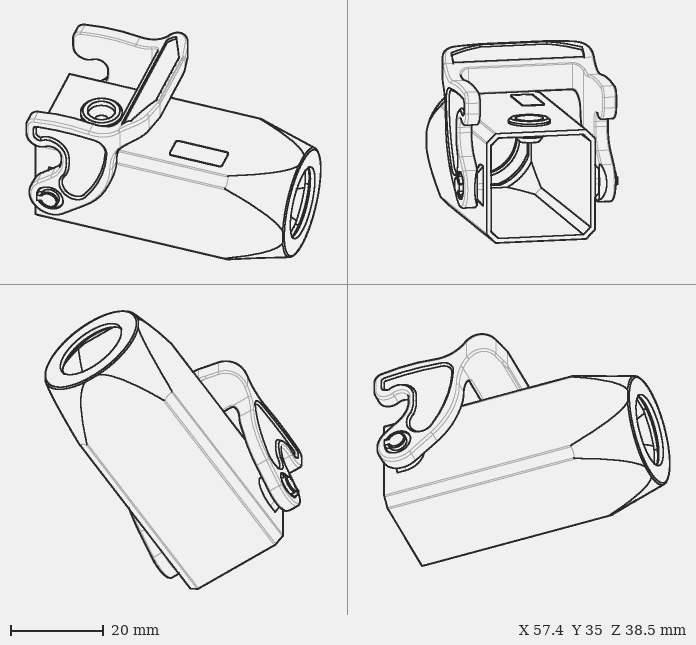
import cadquery as cq
import math

CLEARANCE = 1.0
HALF_SPACE = 100.0

BODY_LENGTH = 56.8
BODY_WIDTH = 24.0
BODY_HALF = BODY_WIDTH / 2
BODY_CHAMFER = 2.0
BODY_EDGE_RADIUS = 0.5
WALL = 1.0
MID_WALL = BODY_HALF - WALL / 2
CAVITY_CHAMFER = 1.6
CAVITY_DRAFT_DROP = 0.4
END_WALL = 1.5
COLLAR_DEPTH = 1.5
COLLAR_HALF = 10.05
COLLAR_RADIUS = 10.7
CONE_START = 43.2
CONE_END_RADIUS = 12.05
CONE_START_RADIUS = math.hypot(BODY_HALF, BODY_HALF - BODY_CHAMFER)
END_EDGE_CHAMFER = 0.3
BORE_RADIUS = 7.9
BORE_CHAMFER = 0.5

SEAT_X = 10.85
SEAT_RADIUS = 4.5
SEAT_HEIGHT = 0.95
SEAT_EDGE_CHAMFER = 0.5
SEAT_CUP_RADIUS = 3.0
SEAT_CUP_DEPTH = 1.2
SEAT_CONE_DEPTH = 1.6
SEAT_INNER_RADIUS = 3.1
SEAT_INNER_Z = 9.1
SEAT_TIP_RADIUS = 2.2
SEAT_TIP_Z = 7.9
SCREW_RADIUS = 1.6

PLATE_X = 35.0
PLATE_Y = -5.3
PLATE_LENGTH = 12.0
PLATE_WIDTH = 4.9
PLATE_CORNER = 0.6
PLATE_HEIGHT = 0.15

PIVOT_X = 5.0
HUB_BASE_RADIUS = 4.35
HUB_TIP_RADIUS = 2.7
HUB_FLAT_X = 3.1
PIN_RADIUS = 2.0
PIN_END_Y = 17.5
PIN_CHAMFER = 0.25
PIN_RECESS_RADIUS = 3.0
PIN_RECESS_DEPTH = 0.4
PIN_KEY_START_X = 2.25
PIN_KEY_HEIGHT = 1.5

ARM_OUTER_Y = 16.7
ARM_INNER_Y = 13.5
EYE_RADIUS = 4.9
LEVER_BACK_X = -0.56
LEVER_TIP_X = 27.0
LEVER_TOP_Z = 26.53
STEM_SLOPE = 38.5
STEM_X = 7.4
STEM_BEND_RADIUS = 6.1
THROAT_RADIUS = 2.2
THROAT_Z = 12.3
NOSE_RADIUS = 3.0
BACK_SLOPE = 37.5
BACK_STRAIGHT = 6.3
BAR_X = 19.5
BAR_INNER_RADIUS = 2.0
LEVER_EDGE_RADIUS = 0.5
WINDOW_EDGE_RADIUS = 0.35
TIP_EDGE_RADIUS = 0.3
EYE_RELIEF_DEPTH = 1.1
EYE_RELIEF_LENGTH = 2.2
EYE_RELIEF_TOP_Z = 4.5
SIDE_POCKET_DEPTH = 0.5
SIDE_POCKET_TAPER = 45.0
BAR_POCKET_DEPTH = 0.5


def octagon(half, chamfer):
    """Square section with cut corners in the plane of the open end."""
    plane = cq.Workplane("YZ")
    return plane.sketch().rect(2 * half, 2 * half).vertices().chamfer(chamfer).finalize()


def revolved_x(points):
    """Turn an (x, radius) outline about the X axis."""
    return cq.Workplane("XY").polyline(points).close().revolve(360, (0, 0, 0), (1, 0, 0))


def rear_cone(inset, length):
    """Cylinder that tapers from CONE_START to the rear end, shrunk by inset."""
    slope = (CONE_START_RADIUS - CONE_END_RADIUS) / (BODY_LENGTH - CONE_START)
    entry_radius = CONE_START_RADIUS + CLEARANCE - inset
    cone_entry = CONE_START - CLEARANCE / slope
    end_radius = CONE_END_RADIUS + slope * (BODY_LENGTH - length) - inset
    return revolved_x([
        (-CLEARANCE, 0),
        (-CLEARANCE, entry_radius),
        (cone_entry, entry_radius),
        (length, end_radius),
        (length, 0),
    ])


def end_collar(depth):
    """Ledge around the cavity floor, open inside a square with rounded corners."""
    plane = cq.Workplane("YZ", origin=(depth - COLLAR_DEPTH, 0, 0))
    block = plane.rect(BODY_WIDTH, BODY_WIDTH).extrude(COLLAR_DEPTH)
    opening = plane.rect(2 * COLLAR_HALF, 2 * COLLAR_HALF).extrude(COLLAR_DEPTH)
    opening = opening.intersect(plane.circle(COLLAR_RADIUS).extrude(COLLAR_DEPTH))
    return block.cut(opening)


def make_shell():
    outer = octagon(BODY_HALF, BODY_CHAMFER).extrude(BODY_LENGTH)
    outer = outer.edges("|X").fillet(BODY_EDGE_RADIUS)
    outer = outer.intersect(rear_cone(0, BODY_LENGTH))
    outer = outer.faces(">X").edges().chamfer(END_EDGE_CHAMFER)

    depth = BODY_LENGTH - END_WALL
    mouth_half = BODY_HALF - WALL
    draft = math.degrees(math.atan(CAVITY_DRAFT_DROP / depth))
    cavity = octagon(mouth_half, CAVITY_CHAMFER).extrude(depth, taper=draft)
    cavity = cavity.intersect(rear_cone(WALL, depth))
    cavity = cavity.cut(end_collar(depth))
    wide = BORE_RADIUS + BORE_CHAMFER
    bore = revolved_x([
        (depth - CLEARANCE, 0),
        (depth - CLEARANCE, wide),
        (depth, wide),
        (depth + BORE_CHAMFER, BORE_RADIUS),
        (BODY_LENGTH + CLEARANCE, BORE_RADIUS),
        (BODY_LENGTH + CLEARANCE, 0),
    ])
    return outer.cut(cavity).cut(bore)


def turned_seat(outline):
    """Turn a (radius, z) outline about the vertical screw axis."""
    plane = cq.Workplane("XZ", origin=(SEAT_X, 0, 0))
    return plane.polyline(outline).close().revolve(360, (0, 0, 0), (0, 1, 0))


def add_screw_seat(body):
    top = BODY_HALF + SEAT_HEIGHT
    cone_top = top - SEAT_CUP_DEPTH
    cone_bottom = cone_top - SEAT_CONE_DEPTH
    seat = turned_seat([
        (0, SEAT_TIP_Z),
        (SEAT_TIP_RADIUS, SEAT_TIP_Z),
        (SEAT_INNER_RADIUS, SEAT_INNER_Z),
        (SEAT_INNER_RADIUS, MID_WALL),
        (SEAT_RADIUS, MID_WALL),
        (SEAT_RADIUS, top - SEAT_EDGE_CHAMFER),
        (SEAT_RADIUS - SEAT_EDGE_CHAMFER, top),
        (0, top),
    ])
    hole = turned_seat([
        (0, SEAT_TIP_Z - CLEARANCE),
        (SCREW_RADIUS, SEAT_TIP_Z - CLEARANCE),
        (SCREW_RADIUS, cone_bottom),
        (SEAT_CUP_RADIUS, cone_top),
        (SEAT_CUP_RADIUS, top),
        (0, top),
    ])
    return body.union(seat).cut(hole)


def add_name_plate(body):
    plate = (
        cq.Workplane("XY", origin=(PLATE_X, PLATE_Y, BODY_HALF))
        .rect(PLATE_LENGTH, PLATE_WIDTH)
        .extrude(PLATE_HEIGHT)
        .edges("|Z")
        .fillet(PLATE_CORNER)
    )
    return body.union(plate)


def lever_outline(plane):
    """Side profile of the lever, starting at the stem and running around the eye."""
    stem_angle = math.radians(STEM_SLOPE + 90)
    back_angle = math.radians(BACK_SLOPE - 90)

    def on_eye(angle):
        return (PIVOT_X + EYE_RADIUS * math.cos(angle), EYE_RADIUS * math.sin(angle))

    stem_foot = on_eye(stem_angle)
    back_foot = on_eye(back_angle)
    back_start = (
        back_foot[0] + BACK_STRAIGHT * math.cos(math.radians(BACK_SLOPE)),
        back_foot[1] + BACK_STRAIGHT * math.sin(math.radians(BACK_SLOPE)),
    )

    throat_x = STEM_X - THROAT_RADIUS
    nose_x = LEVER_BACK_X + NOSE_RADIUS
    centre_gap = THROAT_RADIUS + NOSE_RADIUS
    nose_z = THROAT_Z + math.sqrt(centre_gap**2 - (throat_x - nose_x) ** 2)
    share = THROAT_RADIUS / centre_gap
    touch = (throat_x + share * (nose_x - throat_x), THROAT_Z + share * (nose_z - THROAT_Z))

    bend = math.radians(STEM_SLOPE)
    bend_start_x = STEM_X - STEM_BEND_RADIUS * (1 - math.sin(bend))
    bend_start_z = stem_foot[1] + (bend_start_x - stem_foot[0]) * math.tan(bend)
    bend_end_z = bend_start_z + STEM_BEND_RADIUS * math.cos(bend)

    return (
        plane.moveTo(*stem_foot)
        .threePointArc(on_eye((stem_angle + back_angle) / 2 + math.pi), back_foot)
        .lineTo(*back_start)
        .tangentArcPoint((19.1, 12.3), relative=False)
        .tangentArcPoint((20.0, 16.8), relative=False)
        .tangentArcPoint((26.3, 21.85), relative=False)
        .lineTo(LEVER_TIP_X, 22.0)
        .lineTo(LEVER_TIP_X, LEVER_TOP_Z)
        .lineTo(26.5, LEVER_TOP_Z)
        .tangentArcPoint((20.5, 23.82), relative=False)
        .tangentArcPoint((13.8, 21.35), relative=False)
        .tangentArcPoint((1.2, 21.2), relative=False)
        .tangentArcPoint((LEVER_BACK_X, 19.05), relative=False)
        .lineTo(LEVER_BACK_X, nose_z)
        .tangentArcPoint(touch, relative=False)
        .tangentArcPoint((STEM_X, THROAT_Z), relative=False)
        .lineTo(STEM_X, bend_end_z)
        .tangentArcPoint((bend_start_x, bend_start_z), relative=False)
        .close()
    )


def lever_plan():
    """Plan of the lever seen along Z: a bowed cross bar with two arms."""
    bow_half = 8.0
    corner_x = 21.0
    shoulder_x = 26.1
    shoulder_y = 12.5
    plan = (
        cq.Workplane("XY")
        .moveTo(LEVER_BACK_X - CLEARANCE, ARM_OUTER_Y)
        .lineTo(corner_x, ARM_OUTER_Y)
        .tangentArcPoint((shoulder_x, shoulder_y), relative=False)
        .lineTo(LEVER_TIP_X, bow_half)
        .lineTo(LEVER_TIP_X, -bow_half)
        .lineTo(shoulder_x, -shoulder_y)
        .tangentArcPoint((corner_x, -ARM_OUTER_Y), relative=False)
        .lineTo(LEVER_BACK_X - CLEARANCE, -ARM_OUTER_Y)
        .close()
        .extrude(HALF_SPACE / 2, both=True)
    )
    inside = (
        cq.Workplane("XY")
        .box(HALF_SPACE, 2 * ARM_INNER_Y, HALF_SPACE)
        .edges("|Z and >X")
        .fillet(BAR_INNER_RADIUS)
        .translate((BAR_X - HALF_SPACE / 2, 0, 0))
    )
    return plan.cut(inside)


def side_pocket():
    """Shallow recess with sloping walls in the outer face of the arm at -Y."""
    outline = (
        cq.Workplane("XZ", origin=(0, -ARM_OUTER_Y, 0))
        .moveTo(1.2, 17.3)
        .lineTo(1.2, 18.6)
        .tangentArcPoint((2.1, 19.55), relative=False)
        .threePointArc((8.8, 19.85), (14.9, 19.5))
        .threePointArc((17.2, 18.4), (17.95, 16.0))
        .threePointArc((16.7, 9.5), (13.1, 2.6))
        .threePointArc((10.5, 1.25), (8.0, 2.5))
        .threePointArc((7.1, 4.9), (8.1, 7.5))
        .threePointArc((8.6, 9.2), (8.7, 10.9))
        .lineTo(8.7, 12.3)
        .threePointArc((7.5, 15.2), (4.9, 16.45))
        .threePointArc((3.9, 16.3), (2.9, 15.8))
        .threePointArc((1.7, 16.15), (1.2, 17.3))
        .close()
    )
    return outline.extrude(-SIDE_POCKET_DEPTH, taper=SIDE_POCKET_TAPER)


def bar_pocket(side):
    """Recess that follows the curved top of the cross bar at a constant depth."""
    plan = [
        (20.6, -14.5),
        (22.8, -14.5),
        (25.95, -7.4),
        (25.95, 7.4),
        (22.8, 14.5),
        (20.6, 14.5),
    ]
    top_skin = side.cut(side.translate((BAR_POCKET_DEPTH / 2, 0, -BAR_POCKET_DEPTH)))
    return cq.Workplane("XY").polyline(plan).close().extrude(2 * LEVER_TOP_Z).intersect(top_skin)


def eye_relief():
    """Wedge that bevels the inner edge of the eye at -Y, on its open side."""
    edge_x = PIVOT_X - EYE_RADIUS
    return (
        cq.Workplane("XY", origin=(0, 0, -EYE_RELIEF_TOP_Z))
        .polyline([
            (edge_x, -ARM_INNER_Y),
            (edge_x, -ARM_INNER_Y - EYE_RELIEF_DEPTH),
            (edge_x + EYE_RELIEF_LENGTH, -ARM_INNER_Y),
        ])
        .close()
        .extrude(2 * EYE_RELIEF_TOP_Z)
    )


def both_sides(solid):
    return solid.union(solid.mirror("XZ"))


def make_lever():
    """Lever body with rounded edges, recesses and bevelled eyes."""
    side = lever_outline(cq.Workplane("XZ", origin=(0, ARM_OUTER_Y, 0))).extrude(2 * ARM_OUTER_Y)
    lever = side.intersect(lever_plan())
    lever = lever.faces(">Y or <Y").edges().fillet(LEVER_EDGE_RADIUS)
    lever = lever.edges("|Y").edges(">X").fillet(TIP_EDGE_RADIUS)
    margin = 0.1
    around_window = cq.selectors.BoxSelector(
        (LEVER_BACK_X - CLEARANCE, -ARM_INNER_Y - margin, -EYE_RADIUS - CLEARANCE),
        (BAR_X + margin, ARM_INNER_Y + margin, LEVER_TOP_Z),
    )
    lever = lever.edges("not |Z").edges(around_window).fillet(WINDOW_EDGE_RADIUS)
    lever = lever.cut(bar_pocket(side))
    lever = lever.cut(both_sides(side_pocket()))
    return lever.cut(both_sides(eye_relief()))


def turned_pivot(outline):
    """Turn a (radius, distance from the centre plane) outline about the pivot, toward -Y."""
    points = [(PIVOT_X + radius, -distance) for radius, distance in outline]
    return cq.Workplane("XY").polyline(points).close().revolve(360, (PIVOT_X, 0, 0), (PIVOT_X, 1, 0))


def pivot_hub():
    """Hub on the body side, half cone at the rear and a flat block toward the open end."""
    hub = turned_pivot([
        (0, MID_WALL),
        (HUB_BASE_RADIUS, MID_WALL),
        (HUB_BASE_RADIUS, BODY_HALF),
        (HUB_TIP_RADIUS, ARM_INNER_Y),
        (0, ARM_INNER_Y),
    ])
    block = (
        cq.Workplane("YZ", origin=(HUB_FLAT_X, 0, 0))
        .polyline([
            (-MID_WALL, -HUB_BASE_RADIUS),
            (-BODY_HALF, -HUB_BASE_RADIUS),
            (-ARM_INNER_Y, -HUB_TIP_RADIUS),
            (-ARM_INNER_Y, HUB_TIP_RADIUS),
            (-BODY_HALF, HUB_BASE_RADIUS),
            (-MID_WALL, HUB_BASE_RADIUS),
        ])
        .close()
        .extrude(PIVOT_X - HUB_FLAT_X)
    )
    ahead_of_pivot = cq.Workplane("XY").box(HALF_SPACE, HALF_SPACE, HALF_SPACE)
    ahead_of_pivot = ahead_of_pivot.translate((PIVOT_X + HALF_SPACE / 2, 0, 0))
    return hub.intersect(ahead_of_pivot).union(block)


def pivot_recess():
    floor = ARM_OUTER_Y - PIN_RECESS_DEPTH
    return turned_pivot([
        (0, floor),
        (PIN_RECESS_RADIUS, floor),
        (PIN_RECESS_RADIUS, ARM_OUTER_Y),
        (0, ARM_OUTER_Y),
    ])


def pivot_pin():
    """Pin through the arm, with a key reaching toward the open end."""
    pin = turned_pivot([
        (0, BODY_HALF),
        (PIN_RADIUS, BODY_HALF),
        (PIN_RADIUS, PIN_END_Y - PIN_CHAMFER),
        (PIN_RADIUS - PIN_CHAMFER, PIN_END_Y),
        (0, PIN_END_Y),
    ])
    key_length = PIVOT_X - PIN_KEY_START_X
    key_depth = PIN_END_Y - ARM_INNER_Y
    key = (
        cq.Workplane("XY")
        .box(key_length, key_depth, PIN_KEY_HEIGHT)
        .translate((PIVOT_X - key_length / 2, -ARM_INNER_Y - key_depth / 2, 0))
    )
    return pin.union(key)


shell = add_name_plate(add_screw_seat(make_shell()))
lever = make_lever().cut(both_sides(pivot_recess()))
result = shell.union(both_sides(pivot_hub())).union(lever).union(both_sides(pivot_pin()))